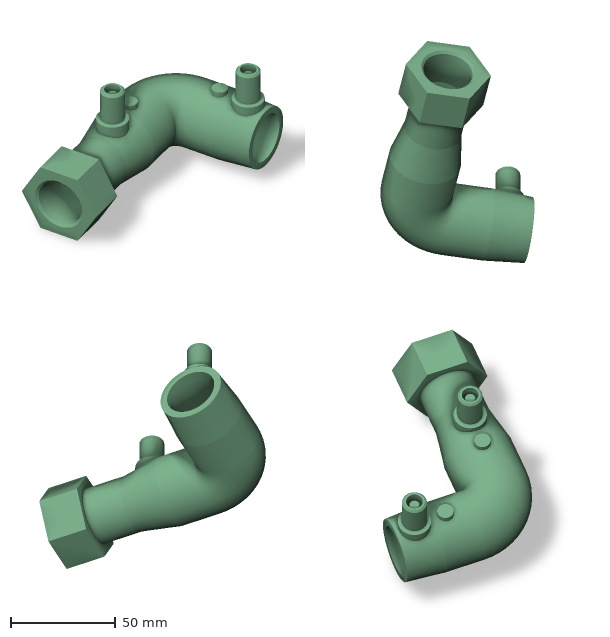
import cadquery as cq
import math


body_radius = 17.5
bend_clearance = 0.01
bend_radius = body_radius + bend_clearance
section_length = 20.0
bore_radius = 12.5

open_end_radius = 16.0

neck_radius = 14.0
nut_across_flats = 36.0
nut_across_corners = nut_across_flats / math.cos(math.pi / 6)
neck_bore_radius = 8.0
socket_radius = 12.0
socket_depth = section_length
mouth_chamfer = 1.2
shoulder_angle = math.radians(120)
shoulder_depth = (socket_radius - neck_bore_radius) / math.tan(shoulder_angle / 2)

straight_end = bend_radius + section_length
taper_end = straight_end + section_length
neck_end = taper_end + section_length
nut_end = neck_end + section_length

terminal_station = straight_end + section_length / 2
collar_radius = 8.0
collar_top = 20.0
collar_rise = 0.4
post_radius = 6.0
post_top = 37.0
post_chamfer = 1.0
post_bore_radius = 4.0
post_bore_depth = 10.0

stud_radius = 2.5
stud_chamfer = 0.4
stud_recess = 2.5

indicator_station = bend_radius + 14.0
indicator_radius = 4.0
indicator_top = 20.0

root_height = (bore_radius + neck_radius) / 2


def along_leg_a(profile):
    """Turn (radius, station) points about the Y axis, stations running towards -Y."""
    points = [(radius, -station) for radius, station in profile]
    return cq.Workplane("XY").polyline(points).close().revolve(360, (0, 0), (0, 1))


def along_leg_b(profile):
    """Turn (radius, station) points about the X axis, stations running towards +X."""
    points = [(station, radius) for radius, station in profile]
    return cq.Workplane("XY").polyline(points).close().revolve(360, (0, 0), (1, 0))


def upright(profile, x, y):
    """Turn (radius, height) points about a vertical axis through (x, y)."""
    turned = cq.Workplane("XZ").polyline(profile).close().revolve(360, (0, 0), (0, 1))
    return turned.translate((x, y, 0))


def bend(radius):
    """Quarter torus joining the two legs, its section made of an upper and a lower half circle."""
    section = (
        cq.Workplane("XZ", origin=(0, -bend_radius, 0))
        .moveTo(-radius, 0)
        .threePointArc((0, radius), (radius, 0))
        .threePointArc((0, -radius), (-radius, 0))
        .close()
    )
    return section.revolve(90, (bend_radius, 0), (bend_radius, -1))


def make_body():
    leg_a = along_leg_a([
        (0, bend_radius),
        (body_radius, bend_radius),
        (body_radius, straight_end),
        (neck_radius, taper_end),
        (neck_radius, neck_end),
        (0, neck_end),
    ])
    leg_b = along_leg_b([
        (0, bend_radius),
        (body_radius, bend_radius),
        (body_radius, straight_end),
        (open_end_radius, taper_end),
        (0, taper_end),
    ])
    nut = (
        cq.Workplane("XZ", origin=(0, -neck_end, 0))
        .polygon(6, nut_across_corners)
        .extrude(section_length)
    )
    return bend(body_radius).union(leg_a).union(leg_b).union(nut)


def make_passage():
    """Wide bore from the open end round the bend, then a narrower bore out to the nut socket."""
    socket_bottom = nut_end - socket_depth
    leg_a = along_leg_a([
        (0, bend_radius),
        (bore_radius, bend_radius),
        (bore_radius, straight_end),
        (neck_bore_radius, straight_end),
        (neck_bore_radius, socket_bottom - shoulder_depth),
        (socket_radius, socket_bottom),
        (socket_radius, nut_end - mouth_chamfer),
        (socket_radius + mouth_chamfer, nut_end),
        (0, nut_end),
    ])
    leg_b = along_leg_b([
        (0, bend_radius),
        (bore_radius, bend_radius),
        (bore_radius, taper_end),
        (0, taper_end),
    ])
    return bend(bore_radius).union(leg_a).union(leg_b)


def make_terminal(x, y):
    """Collar and hollow post with a contact stud standing in it."""
    bore_floor = post_top - post_bore_depth
    stud_top = post_top - stud_recess
    return upright([
        (0, root_height),
        (collar_radius, root_height),
        (collar_radius, collar_top),
        (post_radius, collar_top + collar_rise),
        (post_radius, post_top - post_chamfer),
        (post_radius - post_chamfer, post_top),
        (post_bore_radius, post_top),
        (post_bore_radius, bore_floor),
        (stud_radius, bore_floor),
        (stud_radius, stud_top - stud_chamfer),
        (stud_radius - stud_chamfer, stud_top),
        (0, stud_top),
    ], x, y)


def make_indicator(x, y):
    base = cq.Workplane("XY", origin=(x, y, root_height))
    return base.circle(indicator_radius).extrude(indicator_top - root_height)


attachments = [
    make_terminal(0, -terminal_station),
    make_terminal(terminal_station, 0),
    make_indicator(0, -indicator_station),
    make_indicator(indicator_station, 0),
]

result = make_body()
for attachment in attachments:
    result = result.union(attachment)
result = result.cut(make_passage())